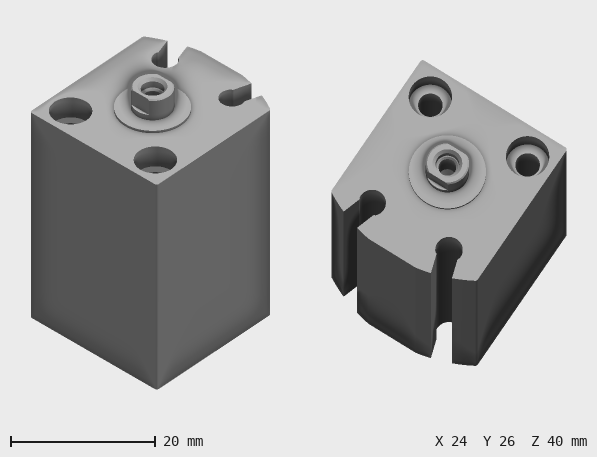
import cadquery as cq
import math

WIDTH = 24.0
FRONT_Y = -WIDTH / 2
BACK_Y = 14.0
HOUSING_HEIGHT = 36.0
CORNER_RADIUS = 0.4
BACK_RADIUS = 23.4
BACK_CENTER_Y = -9.1
COLLAR_DIAMETER = 10.7
COLLAR_HEIGHT = 0.4
COLLAR_TOP = HOUSING_HEIGHT + COLLAR_HEIGHT

MOUNT_OFFSET = 8.0
MOUNT_DIAMETER = 3.4
COUNTERBORE_DIAMETER = 6.0
COUNTERBORE_DEPTH = 3.5

SLOT_X = 6.3
SLOT_Y = 9.3
SLOT_DIAMETER = 3.8
SLOT_MOUTH_WIDTH = 3.0
SLOT_TILT = 17.5
SLOT_LEDGE = 0.8
SLOT_LIP_RADIUS = 0.3
SLOT_MOUTH_LENGTH = 8.0

ROD_DIAMETER = 6.0
ROD_TOP = 40.0
ROD_DEPTH = 8.0
ROD_BOTTOM = COLLAR_TOP - ROD_DEPTH
ROD_CHAMFER = 0.2
FLAT_WIDTH = 4.95
FLAT_BOTTOM = 37.3

BORE_MOUTH_DIAMETER = 4.1
BORE_DIAMETER = 3.3
BORE_DEPTH = 1.5
COUNTERSINK_DIAMETER = 2.95
DRILL_DIAMETER = 2.45
DRILL_DEPTH = 6.0
DRILL_POINT_ANGLE = 118.0


def back_arc_y(x):
    """Y of the convex back arc at the given x."""
    return BACK_CENTER_Y + math.sqrt(BACK_RADIUS**2 - x**2)


def block():
    """Extruded block with a flat back between two curved shoulders."""
    half = WIDTH / 2
    flat_half = math.sqrt(BACK_RADIUS**2 - (BACK_Y - BACK_CENTER_Y) ** 2)
    mid_x = (half + flat_half) / 2
    return (
        cq.Workplane("XY")
        .moveTo(-half, FRONT_Y)
        .lineTo(half, FRONT_Y)
        .lineTo(half, back_arc_y(half))
        .threePointArc((mid_x, back_arc_y(mid_x)), (flat_half, BACK_Y))
        .lineTo(-flat_half, BACK_Y)
        .threePointArc((-mid_x, back_arc_y(mid_x)), (-half, back_arc_y(half)))
        .close()
        .extrude(HOUSING_HEIGHT)
        .edges("|Z and (<X or >X)")
        .fillet(CORNER_RADIUS)
    )


def slot_cutter(side):
    """Sensor slot on the side given by the sign: -1 for -X, +1 for +X."""
    radius = SLOT_DIAMETER / 2
    mouth = SLOT_MOUTH_WIDTH / 2
    ledge_x = math.sqrt(radius**2 - SLOT_LEDGE**2)
    lip_top = SLOT_LEDGE + SLOT_LIP_RADIUS
    lip_x = mouth + SLOT_LIP_RADIUS
    lip_offset = SLOT_LIP_RADIUS * math.sqrt(0.5)
    lip_mid = (lip_x - lip_offset, lip_top - lip_offset)
    outline = (
        cq.Workplane("XY")
        .moveTo(-mouth, SLOT_MOUTH_LENGTH)
        .lineTo(-mouth, lip_top)
        .threePointArc((-lip_mid[0], lip_mid[1]), (-lip_x, SLOT_LEDGE))
        .lineTo(-ledge_x, SLOT_LEDGE)
        .threePointArc((0, -radius), (ledge_x, SLOT_LEDGE))
        .lineTo(lip_x, SLOT_LEDGE)
        .threePointArc(lip_mid, (mouth, lip_top))
        .lineTo(mouth, SLOT_MOUTH_LENGTH)
        .close()
    )
    return (
        outline.extrude(HOUSING_HEIGHT)
        .rotate((0, 0, 0), (0, 0, 1), -side * SLOT_TILT)
        .translate((side * SLOT_X, SLOT_Y, 0))
    )


def make_housing():
    """Block with sensor slots, mounting holes, rod collar and rod hole."""
    body = block()
    for side in (-1, 1):
        body = body.cut(slot_cutter(side))
    body = (
        body.faces(">Z")
        .workplane(origin=(0, 0, HOUSING_HEIGHT))
        .pushPoints([(-MOUNT_OFFSET, -MOUNT_OFFSET), (MOUNT_OFFSET, -MOUNT_OFFSET)])
        .cboreHole(MOUNT_DIAMETER, COUNTERBORE_DIAMETER, COUNTERBORE_DEPTH)
    )
    collar = (
        cq.Workplane("XY", origin=(0, 0, HOUSING_HEIGHT))
        .circle(COLLAR_DIAMETER / 2)
        .extrude(COLLAR_HEIGHT)
    )
    rod_hole = (
        cq.Workplane("XY", origin=(0, 0, ROD_BOTTOM))
        .circle(ROD_DIAMETER / 2)
        .extrude(ROD_DEPTH)
    )
    return body.union(collar).cut(rod_hole)


def rod_bore():
    """Revolved cutter: chamfered mouth, wide bore, drill with a conical point."""
    mouth = BORE_MOUTH_DIAMETER / 2
    bore = BORE_DIAMETER / 2
    countersink = COUNTERSINK_DIAMETER / 2
    drill = DRILL_DIAMETER / 2
    chamfer_z = ROD_TOP - (mouth - bore)
    step_z = ROD_TOP - BORE_DEPTH
    countersink_z = step_z - (countersink - drill)
    drill_z = ROD_TOP - DRILL_DEPTH
    point_z = drill_z - drill / math.tan(math.radians(DRILL_POINT_ANGLE / 2))
    return (
        cq.Workplane("XZ")
        .polyline([
            (0, ROD_TOP),
            (mouth, ROD_TOP),
            (bore, chamfer_z),
            (bore, step_z),
            (countersink, step_z),
            (drill, countersink_z),
            (drill, drill_z),
            (0, point_z),
        ])
        .close()
        .revolve(360, (0, 0, 0), (0, 1, 0))
    )


def make_rod():
    """Round rod with a chamfered end, two wrench flats and a stepped bore."""
    rod = (
        cq.Workplane("XY", origin=(0, 0, ROD_BOTTOM))
        .circle(ROD_DIAMETER / 2)
        .extrude(ROD_TOP - ROD_BOTTOM)
        .faces(">Z")
        .chamfer(ROD_CHAMFER)
    )
    flat_depth = (ROD_DIAMETER - FLAT_WIDTH) / 2
    flat_center_y = (ROD_DIAMETER + FLAT_WIDTH) / 4
    for side in (-1, 1):
        flat = (
            cq.Workplane("XY", origin=(0, side * flat_center_y, FLAT_BOTTOM))
            .rect(ROD_DIAMETER, flat_depth)
            .extrude(ROD_TOP - FLAT_BOTTOM)
        )
        rod = rod.cut(flat)
    return rod.cut(rod_bore())


housing = make_housing()
rod = make_rod()
result = cq.Compound.makeCompound([housing.val(), rod.val()])